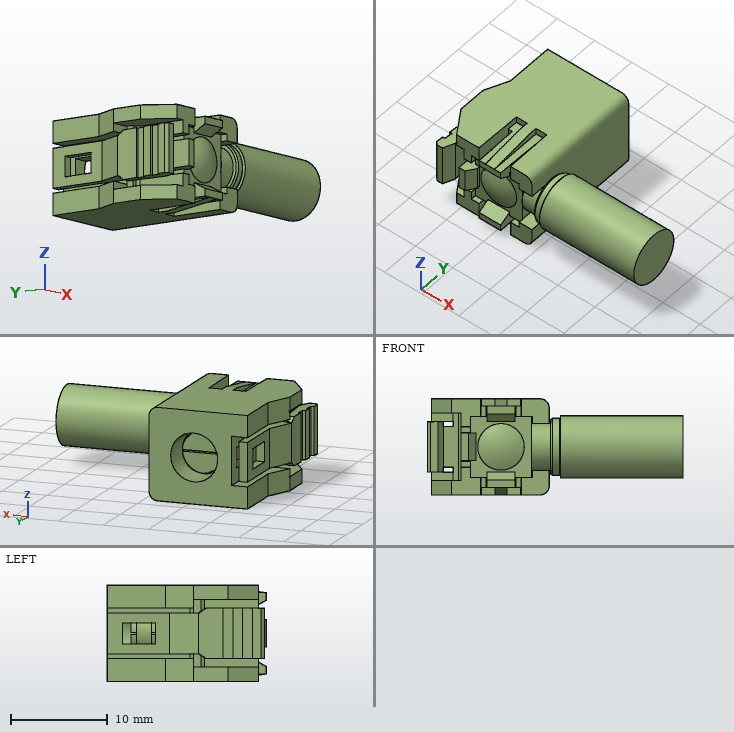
import cadquery as cq

SIDES = (1, -1)

total_length = 26.5
housing_depth = 15.7
housing_height = 10.0
half_height = housing_height / 2
rear_left_x = 1.72
bulge_x = 0.42
bulge_start_y = 9.68
bulge_full_y = 6.75
front_corner_x = 2.5
front_corner_y = 3.18
right_x = 12.65
edge_radius = 0.98

contact_x = 7.63
pocket_left_x = 4.48
pocket_right_x = 10.9
pocket_half_height = 3.15
pocket_depth = 0.65
body_right_x = 10.8
dome_radius = 2.4
dome_rise = 0.64

sleeve_y = 3.08
stem_radius = 2.45
collar_radius = 5.96 / 2
collar_chamfer = 0.15
collar_start_x = 12.78
collar_taper_end_x = 13.0
collar_relief_x = 13.68
sleeve_start_x = 13.79
sleeve_radius = 6.5 / 2

latch_overhang = 0.8
latch_hook_rise = 0.8
latch_half_width = 1.45
latch_outer_z = 4.22
latch_opening_half = 2.12
latch_root_y = 4.67
latch_recess_y = 5.96
latch_taper = 0.08
ramp_half_width = 0.6
ramp_top_y = 4.88
side_latch_half_width = 1.43
side_latch_tip_x = 4.27
side_latch_base = (5.05, 0.32)

lever_half_width = 2.12
grip_half_width = 2.62
grip_full_y = 5.43
recess_half_width = 3.5
recess_floor_x = 3.47
rib_crest_x = 2.68
rib_shoulder_x = 3.2
rib_front_y = 5.96
rib_foot_length = 0.35
lever_bend_y = 9.25
lever_flat_y = 6.23
lever_inner_root_x = 1.3
tooth_start_y = 4.7
tooth_pitch = 1.0
tooth_depth = 0.3
tooth_end_y = -0.25
grip_end_y = -0.6
grip_end_x = (0.35, 1.1)
grip_heel = (1.67, 0.8)

window_y = (10.7, 14.1)
window_half_height = 1.1
bore_radius = 2.6
bore_end_y = 10.07
finger_radius = 2.25
finger_end_y = 13.2
finger_slit = 0.19
ring_radius = 2.45
ring_y = (11.1, 12.67)


def box(x_range, y_range, z_range):
    (x0, x1), (y0, y1), (z0, z1) = x_range, y_range, z_range
    return cq.Workplane("XY").box(x1 - x0, y1 - y0, z1 - z0, centered=False).translate((x0, y0, z0))


def plate(points, z0, z1):
    """Outline in X and Y, extruded from z0 to z1."""
    return cq.Workplane("XY").workplane(offset=z0).polyline(points).close().extrude(z1 - z0)


def symmetric_plate(points, half_width):
    return plate(points, -half_width, half_width)


def band(points, inner_z, outer_z, side):
    """Outline extruded between two distances from the mid-plane, on one side of it."""
    z0, z1 = sorted((side * inner_z, side * outer_z))
    return plate(points, z0, z1)


def cylinder_y(radius, y_range):
    """Cylinder along Y on the contact axis."""
    plane = cq.Plane(origin=(contact_x, y_range[0], 0), xDir=(1, 0, 0), normal=(0, 1, 0))
    return cq.Workplane(plane).circle(radius).extrude(y_range[1] - y_range[0])


def make_housing():
    outline = [
        (right_x, 0),
        (right_x, housing_depth),
        (rear_left_x, housing_depth),
        (rear_left_x, bulge_start_y),
        (bulge_x, bulge_full_y),
        (bulge_x, front_corner_y),
        (front_corner_x, 0),
    ]
    block = symmetric_plate(outline, half_height)
    return block.edges("|Y and >X").fillet(edge_radius)


def cut_lever_recess(housing):
    """Recess behind the lever, leaving a cross rib on its floor that carries the lever."""
    grip_recess = [
        (0, 0),
        (recess_floor_x, 0),
        (recess_floor_x, rib_front_y - rib_foot_length),
        (rib_shoulder_x, rib_front_y),
        (rib_crest_x, rib_front_y),
        (rib_crest_x, bulge_full_y),
        (0, bulge_full_y),
    ]
    stem_recess = [
        (0, bulge_full_y),
        (rib_shoulder_x, bulge_full_y),
        (recess_floor_x, bulge_full_y + rib_foot_length),
        (recess_floor_x, housing_depth),
        (0, housing_depth),
    ]
    housing = housing.cut(symmetric_plate(grip_recess, recess_half_width))
    return housing.cut(symmetric_plate(stem_recess, grip_half_width))


def grip_face_x(y):
    """Outer face of the grip, leaning outward from the first tooth to the tip."""
    return bulge_x * (y - tooth_end_y) / (tooth_start_y - tooth_end_y)


def make_lever():
    stem = [
        (rear_left_x, housing_depth),
        (rear_left_x, lever_bend_y),
        (bulge_x, lever_flat_y),
        (lever_inner_root_x, rib_front_y),
        (rib_crest_x, rib_front_y),
        (rib_crest_x, housing_depth),
    ]
    grip_profile = [
        (bulge_x, lever_flat_y),
        (bulge_x, tooth_start_y),
        (0, tooth_end_y),
        (grip_end_x[0], grip_end_y),
        (grip_end_x[1], grip_end_y),
        grip_heel,
        (lever_inner_root_x, rib_front_y),
    ]
    grip = symmetric_plate(grip_profile, grip_half_width)
    for groove in (1, 3):
        y0 = tooth_start_y - groove * tooth_pitch
        y1 = y0 - tooth_pitch
        x0 = grip_face_x(y0)
        x1 = grip_face_x(y1)
        notch = [(0, y0), (x0 + tooth_depth, y0), (x1 + tooth_depth, y1), (0, y1)]
        grip = grip.cut(symmetric_plate(notch, grip_half_width))
    upper_half = [
        (grip_end_y, grip_half_width),
        (grip_full_y, grip_half_width),
        (lever_flat_y, lever_half_width),
    ]
    lower_half = [(y, -z) for y, z in reversed(upper_half)]
    envelope = cq.Workplane("YZ").polyline(upper_half + lower_half).close().extrude(rib_crest_x)
    return symmetric_plate(stem, lever_half_width).union(grip.intersect(envelope))


def cut_front_pocket(housing):
    """Pocket showing the contact body, and the U-slot that lets the stem out."""
    half = pocket_half_height
    pocket = box((pocket_left_x, pocket_right_x), (0, pocket_depth), (-half, half))
    clearance = box((body_right_x, pocket_right_x), (0, sleeve_y), (-half, half))
    stem_slot = box((body_right_x, right_x), (0, sleeve_y), (-stem_radius, stem_radius))
    return housing.cut(pocket).cut(clearance).cut(stem_slot)


def opening_half(y):
    """Half width of the opening around a latch arm; it widens toward the front."""
    return latch_opening_half - latch_taper * y / latch_recess_y


def latch_gaps(centre, arm_half):
    """Gaps on the two sides of a latch arm, as (across, y) points; the arm narrows to the front."""
    gap = [
        (arm_half, pocket_depth),
        (arm_half, 0),
        (opening_half(0), 0),
        (opening_half(latch_root_y), latch_root_y),
        (arm_half + latch_taper, latch_root_y),
    ]
    return [[(centre + side * across, y) for across, y in gap] for side in SIDES]


def add_wall_latch(housing, wall):
    """Latch arm in the top or bottom wall with a ramped stiffener and a front hook."""
    front_half = opening_half(0)
    back_half = opening_half(latch_recess_y)
    recess = [
        (contact_x - front_half, 0),
        (contact_x + front_half, 0),
        (contact_x + back_half, latch_recess_y),
        (contact_x - back_half, latch_recess_y),
    ]
    housing = housing.cut(band(recess, latch_outer_z, half_height, wall))
    for gap in latch_gaps(contact_x, latch_half_width):
        housing = housing.cut(band(gap, pocket_half_height, latch_outer_z, wall))

    hook_tip_z = latch_outer_z - latch_hook_rise
    hook = [
        (-latch_overhang, wall * latch_outer_z),
        (-latch_overhang, wall * hook_tip_z),
        (pocket_depth, wall * (hook_tip_z - latch_hook_rise)),
        (pocket_depth, wall * latch_outer_z),
    ]
    ramp = [
        (-latch_overhang, wall * latch_outer_z),
        (ramp_top_y, wall * half_height),
        (latch_recess_y, wall * half_height),
        (latch_recess_y, wall * latch_outer_z),
    ]
    for profile, half_width in ((hook, latch_half_width), (ramp, ramp_half_width)):
        start = cq.Workplane("YZ").workplane(offset=contact_x - half_width)
        housing = housing.union(start.polyline(profile).close().extrude(2 * half_width))
    return housing


def add_side_latch(housing):
    """Latch arm in the left wall, behind the grip."""
    for gap in latch_gaps(0, side_latch_half_width):
        outline = [(y, z) for z, y in gap]
        start = cq.Workplane("YZ").workplane(offset=recess_floor_x)
        housing = housing.cut(start.polyline(outline).close().extrude(pocket_left_x - recess_floor_x))
    hook = [
        (recess_floor_x, pocket_depth),
        (recess_floor_x, -latch_overhang),
        (side_latch_tip_x, -latch_overhang),
        side_latch_base,
        (side_latch_base[0], pocket_depth),
    ]
    return housing.union(symmetric_plate(hook, side_latch_half_width))


def make_dome():
    """Shallow spherical cap on the front of the contact body."""
    ball_radius = (dome_radius**2 + dome_rise**2) / (2 * dome_rise)
    cap = (
        cq.Workplane("XY")
        .lineTo(dome_radius, 0)
        .radiusArc((0, -dome_rise), ball_radius)
        .close()
        .revolve(360, (0, 0, 0), (0, 1, 0))
    )
    return cap.translate((contact_x, pocket_depth, 0))


def make_sleeve():
    """Stem, chamfered collar and cable sleeve, turned about an axis along X."""
    neck_radius = collar_radius - collar_chamfer
    half_section = [
        (body_right_x, 0),
        (body_right_x, stem_radius),
        (collar_start_x, stem_radius),
        (collar_start_x, neck_radius),
        (collar_taper_end_x, collar_radius),
        (collar_relief_x, collar_radius),
        (sleeve_start_x, neck_radius),
        (sleeve_start_x, sleeve_radius),
        (total_length, sleeve_radius),
        (total_length, 0),
    ]
    turned = cq.Workplane("XY").polyline(half_section).close().revolve(360, (0, 0, 0), (1, 0, 0))
    return turned.translate((0, sleeve_y, 0))


def cut_socket(body):
    """Rear bore around a slotted contact with a retaining ring, and the lever window."""
    fingers = cylinder_y(finger_radius, (bore_end_y, finger_end_y))
    half_slit = finger_slit / 2
    slit_x = (contact_x - bore_radius, contact_x + bore_radius)
    fingers = fingers.cut(box(slit_x, (bore_end_y, finger_end_y), (-half_slit, half_slit)))
    contact = fingers.union(cylinder_y(ring_radius, ring_y))
    window = box((rear_left_x, contact_x), window_y, (-window_half_height, window_half_height))
    body = body.cut(window).cut(cylinder_y(bore_radius, (bore_end_y, housing_depth)))
    return body.union(contact)


body = cut_lever_recess(make_housing())
body = cut_front_pocket(body)
for wall in SIDES:
    body = add_wall_latch(body, wall)
body = add_side_latch(body)
body = body.union(make_lever()).union(make_dome()).union(make_sleeve())
result = cut_socket(body)